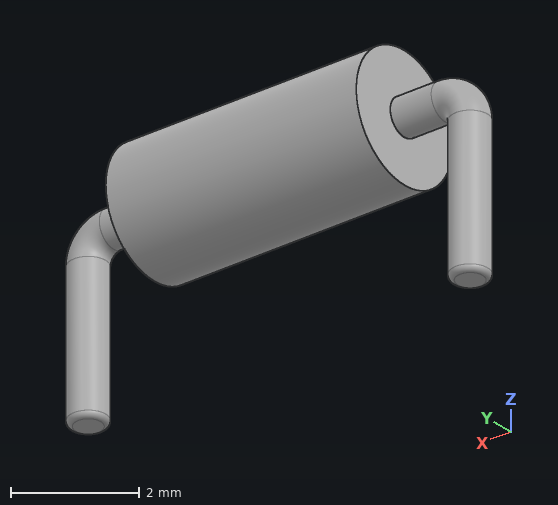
import cadquery as cq

overall_length = 8.32
body_diameter = 2.4
body_length = 5.0
lead_diameter = 0.7
bend_radius = 0.5
lead_drop = 3.33
tip_fillet = 0.1

lead_offset = (overall_length - lead_diameter) / 2


def make_body():
    """Plain cylinder centred on the origin, axis along X."""
    return (
        cq.Workplane("YZ", origin=(-body_length / 2, 0, 0))
        .circle(body_diameter / 2)
        .extrude(body_length)
    )


def make_leads():
    """Both leads as one wire running through the body axis."""
    bend_start = lead_offset - bend_radius
    path = (
        cq.Workplane("XZ")
        .moveTo(-lead_offset, -lead_drop)
        .lineTo(-lead_offset, -bend_radius)
        .tangentArcPoint((-bend_start, 0), relative=False)
        .lineTo(bend_start, 0)
        .tangentArcPoint((lead_offset, -bend_radius), relative=False)
        .lineTo(lead_offset, -lead_drop)
    )
    wire = (
        cq.Workplane("XY", origin=(-lead_offset, 0, -lead_drop))
        .circle(lead_diameter / 2)
        .sweep(path)
    )
    return wire.faces("<Z").edges().fillet(tip_fillet)


result = make_body().union(make_leads())